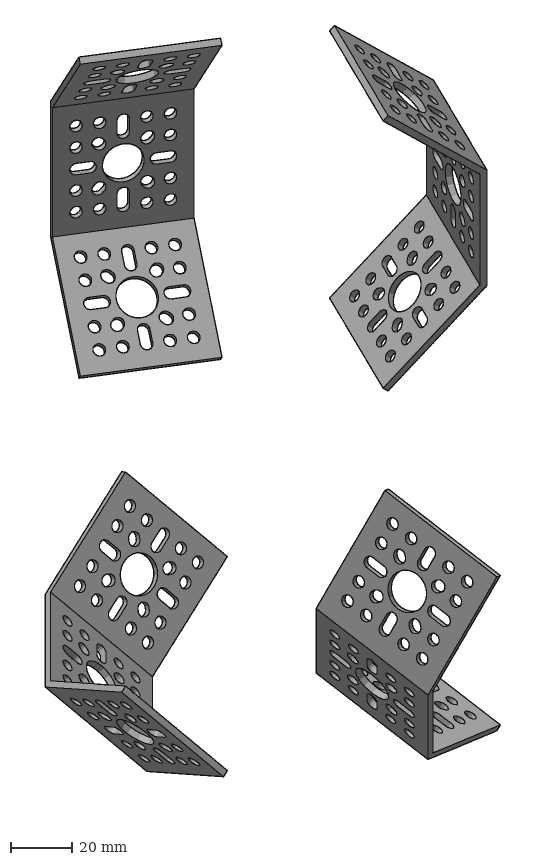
import cadquery as cq
import math

total_height = 119.4
width = 48.0
thickness = 2.5
bend_angle = 45.0
hole_pitch = 8.0
hole_diameter = 4.2
centre_hole_diameter = 14.1
slot_inner_radius = 11.2
spoke_count = 4
diagonal_circle_radius = 12.1

bend = math.radians(bend_angle)
setback = thickness * math.tan(bend / 2)
panel_length = (total_height - 2 * setback * (1 + math.cos(bend))) / (1 + 2 * math.cos(bend))
inner_corner_height = panel_length / 2
outer_corner_height = inner_corner_height + setback


def wing_point(distance, depth):
    """XZ point on the upper wing: distance past the inner bend corner, depth below the outer face."""
    offset = depth - thickness
    x = thickness + distance * math.sin(bend) + offset * math.cos(bend)
    z = inner_corner_height + distance * math.cos(bend) - offset * math.sin(bend)
    return x, z


def mirrored(point):
    return point[0], -point[1]


def bent_strip():
    """Strip of constant thickness with two mitred bends, its middle panel upright on X = 0."""
    outer_tip = wing_point(panel_length, 0)
    inner_tip = wing_point(panel_length, thickness)
    upper = [(0, outer_corner_height), outer_tip, inner_tip, (thickness, inner_corner_height)]
    lower = [mirrored(point) for point in reversed(upper)]
    return cq.Workplane("XZ").polyline(upper + lower).close().extrude(width / 2, both=True)


def through_cutter(outline):
    """Solid cutter from closed outlines in a panel's mid-plane, standing proud of both its faces."""
    return outline.extrude(thickness, both=True)


def hole_pattern(centre, tilt):
    """Cutters for one panel, centred at an XZ point and tilted by an angle about Y."""
    normal = (math.cos(tilt), 0, -math.sin(tilt))
    plane = cq.Plane(origin=(centre[0], 0, centre[1]), xDir=(0, 1, 0), normal=normal)
    face = cq.Workplane(plane)

    centre_hole = through_cutter(face.circle(centre_hole_diameter / 2))

    grid_steps = (-2, -1, 1, 2)
    grid_points = [(column * hole_pitch, row * hole_pitch) for column in grid_steps for row in grid_steps]
    grid_holes = through_cutter(face.pushPoints(grid_points).circle(hole_diameter / 2))

    diagonal_points = face.polarArray(diagonal_circle_radius, 180 / spoke_count, 360, spoke_count)
    diagonal_holes = through_cutter(diagonal_points.circle(hole_diameter / 2))

    slot_outer_radius = max(grid_steps) * hole_pitch
    slot_length = slot_outer_radius - slot_inner_radius + hole_diameter
    slot_middle = (slot_inner_radius + slot_outer_radius) / 2
    slot_points = face.polarArray(slot_middle, 0, 360, spoke_count)
    slots = through_cutter(slot_points.slot2D(slot_length, hole_diameter))

    return centre_hole.union(grid_holes).union(diagonal_holes).union(slots)


wing_centre = wing_point(panel_length / 2, thickness / 2)

result = (
    bent_strip()
    .cut(hole_pattern((thickness / 2, 0), 0))
    .cut(hole_pattern(wing_centre, bend))
    .cut(hole_pattern(mirrored(wing_centre), -bend))
)